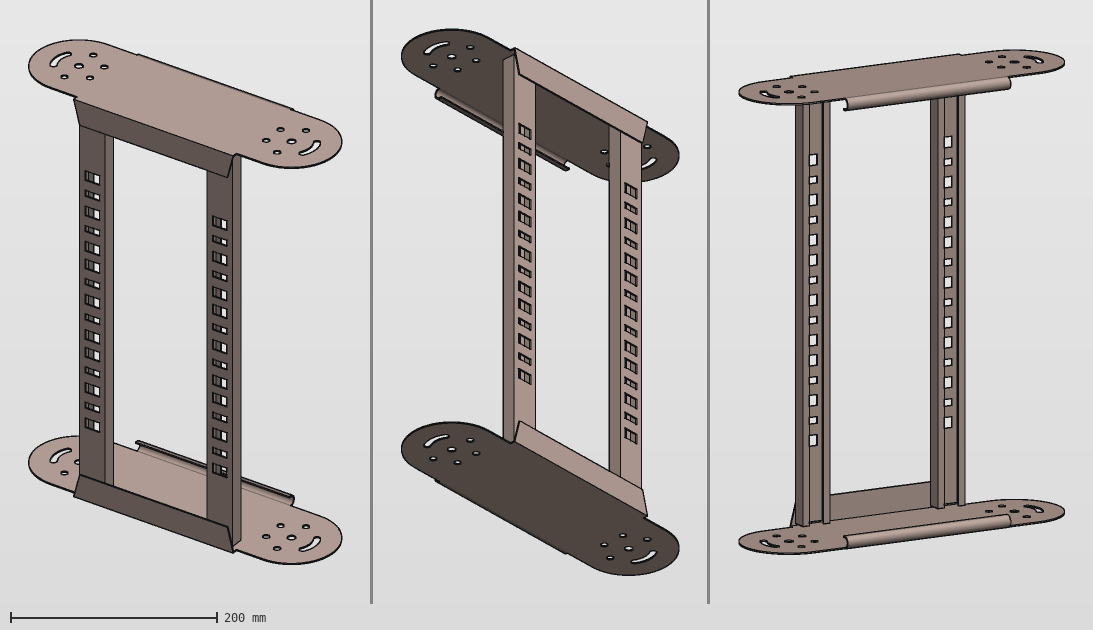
import cadquery as cq
import math

frame_height = 450.0
sheet = 1.5

plate_length = 348.0
pivot_spacing = 250.0
pivot_x = pivot_spacing / 2
end_x = plate_length / 2
half_width = end_x - pivot_x

flange_reach = 6.0
flange_root_width = 187.5
flange_tip_width = 173.5
flange_height = 27.0
flange_face_y = -half_width - flange_reach

hook_width = 181.0
hook_radius = 6.5
hook_lip = 2.2

bolt_circle_radius = 24.8
bolt_hole_radius = 3.5
pivot_hole_radius = 4.28
bolt_angles = [90, 150, 210, 270]
arc_slot_half_angle = 30

rail_width = 30.0
rail_depth = 15.0
rail_lip = 7.0
rail_span = 180.0
rail_end_gap = 4.0
rail_setback = 4.5
rail_length = frame_height - 2 * rail_end_gap
rail_front_y = flange_face_y + rail_setback
rail_outer_x = -rail_span / 2

slot_width = 16.5
slot_margin = 6.8
slot_count = 15
slot_span = 280.0
slot_pitch = slot_span / (slot_count - 1)
tall_slot = 11.0
short_slot = 6.8
slot_group = [tall_slot, short_slot, tall_slot, short_slot, tall_slot]


def flat_plate():
    """Plate with rounded ends, and a straight tab that carries the front flange."""
    body = cq.Workplane("XY").slot2D(plate_length, 2 * half_width).extrude(-sheet)
    tab = (
        cq.Workplane("XY")
        .moveTo(0, flange_face_y / 2)
        .rect(flange_root_width, -flange_face_y)
        .extrude(-sheet)
    )
    return body.union(tab)


def front_flange():
    """Tapered flange turned down from the front tab."""
    half_root = flange_root_width / 2
    half_tip = flange_tip_width / 2
    return (
        cq.Workplane("XZ", origin=(0, flange_face_y, 0))
        .polyline([
            (-half_root, 0),
            (half_root, 0),
            (half_tip, -flange_height),
            (-half_tip, -flange_height),
        ])
        .close()
        .extrude(-sheet)
    )


def back_hook():
    """Back edge rolled down through a half turn, ending in a short straight lip."""
    inner_radius = hook_radius - sheet
    lip_end_y = half_width - hook_lip
    hook_bottom = -2 * hook_radius
    return (
        cq.Workplane("YZ", origin=(-hook_width / 2, 0, 0))
        .moveTo(half_width, 0)
        .threePointArc((half_width + hook_radius, -hook_radius), (half_width, hook_bottom))
        .lineTo(lip_end_y, hook_bottom)
        .lineTo(lip_end_y, hook_bottom + sheet)
        .lineTo(half_width, hook_bottom + sheet)
        .threePointArc((half_width + inner_radius, -hook_radius), (half_width, -sheet))
        .close()
        .extrude(hook_width)
    )


def pivot_point(radius, angle):
    """Point at a radius and an angle in degrees about the +X pivot hole."""
    radians = math.radians(angle)
    return (pivot_x + radius * math.cos(radians), radius * math.sin(radians))


def arc_slot():
    """Cutter for the round-ended slot that follows the bolt circle."""
    inner = bolt_circle_radius - bolt_hole_radius
    outer = bolt_circle_radius + bolt_hole_radius
    middle = bolt_circle_radius
    start = -arc_slot_half_angle
    end = arc_slot_half_angle
    cap = math.degrees(2 * math.asin(bolt_hole_radius / (2 * middle)))
    return (
        cq.Workplane("XY")
        .moveTo(*pivot_point(inner, start))
        .threePointArc(pivot_point(inner, 0), pivot_point(inner, end))
        .threePointArc(pivot_point(middle, end + cap), pivot_point(outer, end))
        .threePointArc(pivot_point(outer, 0), pivot_point(outer, start))
        .threePointArc(pivot_point(middle, start - cap), pivot_point(inner, start))
        .close()
        .extrude(-sheet)
    )


def end_holes():
    """Cutters for all the holes at the +X end of a plate."""
    pivot_hole = cq.Workplane("XY").center(pivot_x, 0).circle(pivot_hole_radius).extrude(-sheet)
    bolt_holes = (
        cq.Workplane("XY")
        .pushPoints([pivot_point(bolt_circle_radius, angle) for angle in bolt_angles])
        .circle(bolt_hole_radius)
        .extrude(-sheet)
    )
    return pivot_hole.union(bolt_holes).union(arc_slot())


def upper_end_plate():
    holes = end_holes()
    plate = flat_plate().union(front_flange()).union(back_hook())
    plate = plate.cut(holes).cut(holes.mirror("YZ"))
    return plate.translate((0, 0, frame_height / 2))


def rail_channel():
    """C-shaped channel on the -X side, with its web at the front and two lips at the back."""
    return (
        cq.Workplane("XY", origin=(rail_outer_x, rail_front_y, -rail_length / 2))
        .polyline([
            (0, 0),
            (rail_width, 0),
            (rail_width, rail_depth),
            (rail_width - rail_lip, rail_depth),
            (rail_width - rail_lip, rail_depth - sheet),
            (rail_width - sheet, rail_depth - sheet),
            (rail_width - sheet, sheet),
            (sheet, sheet),
            (sheet, rail_depth - sheet),
            (rail_lip, rail_depth - sheet),
            (rail_lip, rail_depth),
            (0, rail_depth),
        ])
        .close()
        .extrude(rail_length)
    )


def left_rail():
    rail = rail_channel()
    slot_x = rail_outer_x + slot_margin + slot_width / 2
    for index in range(slot_count):
        slot_height = slot_group[index % len(slot_group)]
        slot_z = index * slot_pitch - slot_span / 2
        slot = (
            cq.Workplane("XZ", origin=(slot_x, rail_front_y, slot_z))
            .rect(slot_width, slot_height)
            .extrude(-sheet)
        )
        rail = rail.cut(slot)
    return rail


upper_plate = upper_end_plate()
end_plates = [upper_plate, upper_plate.mirror("XY")]

first_rail = left_rail()
rails = [first_rail, first_rail.mirror("YZ")]

result = cq.Compound.makeCompound([body.solids().val() for body in end_plates + rails])